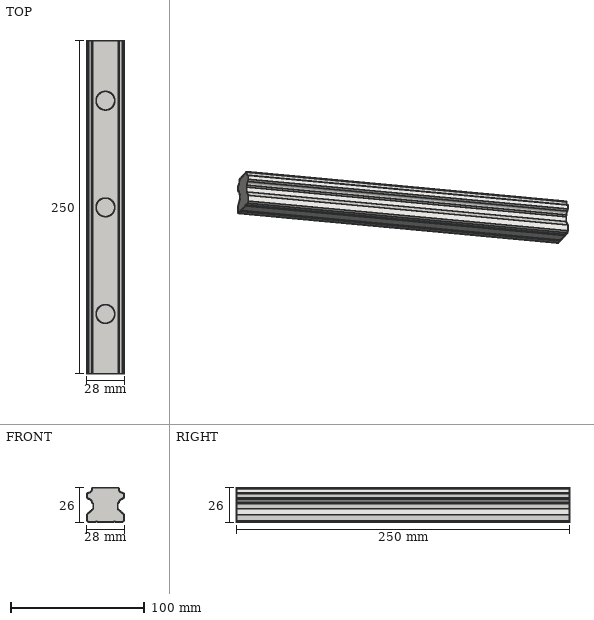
import cadquery as cq

length = 250
width = 28.0
height = 26.0
half_width = width / 2

top_half_width = 9.5
top_chamfer = 0.8
head_half_width = top_half_width + top_chamfer
head_foot_z = 24.8
shoulder_half_width = 12.5
shoulder_z = 22.2
shoulder_edge_z = 21.5
shoulder_arc_rise = 0.7

groove_top_z = 18.5
groove_lip_half_width = 12.5
groove_lip_z = 17.2
groove_knee_half_width = 10.2
groove_knee_z = 15
groove_arc_rise = 0.62
waist_half_width = 9.2
waist_top_z = 13.8
waist_bottom_z = 10
base_top_z = 5.8

base_chamfer = 1.2
relief_offset = 6.8
relief_width = 1.8
relief_depth = 0.8

plug_diameter = 14.0
plug_depth = 0.2
plug_pitch = 80
plug_count = 3


def half_rail():
    """Extrude the +X half of the rail section along Y."""
    section = (
        cq.Workplane("XZ")
        .moveTo(0, 0)
        .lineTo(half_width - base_chamfer, 0)
        .lineTo(half_width, base_chamfer)
        .lineTo(half_width, base_top_z)
        .lineTo(waist_half_width, waist_bottom_z)
        .lineTo(waist_half_width, waist_top_z)
        .lineTo(groove_knee_half_width, groove_knee_z)
        .sagittaArc((groove_lip_half_width, groove_lip_z), groove_arc_rise)
        .lineTo(half_width, groove_top_z)
        .lineTo(half_width, shoulder_edge_z)
        .lineTo(shoulder_half_width, shoulder_z)
        .sagittaArc((head_half_width, head_foot_z), shoulder_arc_rise)
        .lineTo(head_half_width, height - top_chamfer)
        .lineTo(top_half_width, height)
        .lineTo(0, height)
        .close()
    )
    return section.extrude(length / 2, both=True)


def bottom_relief(center_x):
    """Narrow V-groove running along the underside, centred at center_x."""
    return (
        cq.Workplane("XZ")
        .moveTo(center_x - relief_width / 2, 0)
        .lineTo(center_x, relief_depth)
        .lineTo(center_x + relief_width / 2, 0)
        .close()
        .extrude(length / 2, both=True)
    )


def plug_seats():
    """Row of shallow round seats in the top face."""
    return (
        cq.Workplane("XY", origin=(0, 0, height - plug_depth))
        .rarray(2.5, plug_pitch, 1, plug_count)
        .circle(plug_diameter / 2)
        .extrude(plug_depth)
    )


right_half = half_rail()
rail = right_half.union(right_half.mirror("YZ")).clean()
for side in (-1, 1):
    rail = rail.cut(bottom_relief(side * relief_offset))
result = rail.cut(plug_seats())